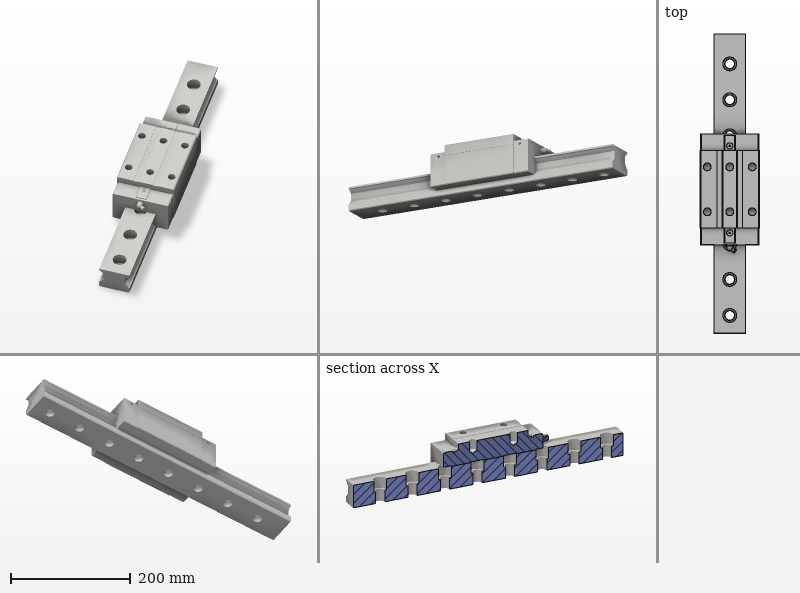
import cadquery as cq
import math

RAIL_LENGTH = 500.0
RAIL_WIDTH = 53.0
RAIL_HEIGHT = 42.0
RAIL_WAIST_WIDTH = 37.5
RAIL_HEAD_EDGE_Z = 39.0
RAIL_WAIST_TOP_Z = 32.0
RAIL_WAIST_BOTTOM_Z = 19.5
RAIL_FOOT_EDGE_Z = 11.5
RAIL_LIP_WIDTH = 2.0
RAIL_LIP_RISE = 1.0
RAIL_FOOT_CHAMFER = 1.5
RAIL_HOLE_COUNT = 8
RAIL_HOLE_PITCH = 60.0
RAIL_FIRST_HOLE_INSET = 30.0
RAIL_HOLE_DIAMETER = 16.0
RAIL_BORE_DIAMETER = 23.0
RAIL_BORE_DEPTH = 20.0

TOTAL_HEIGHT = 80.0
CARRIAGE_Y = -9.5
CARRIAGE_BOTTOM_Z = 10.5
BLOCK_WIDTH = 100.0
BLOCK_LENGTH = 129.5
BLOCK_LOWER_WIDTH = 99.0
BLOCK_STEP_Z = 61.5
BLOCK_TOP_CHAMFER = 2.0
BOTTOM_CHAMFER = 1.5
GROOVE_DEPTH = 0.75
GROOVE_OUTER_X = 21.5
GROOVE_INNER_TOP_X = 11.5
GROOVE_INNER_FLOOR_X = 13.0
MOUNT_HOLE_DIAMETER = 13.0
MOUNT_HOLE_DEPTH = 18.0
MOUNT_PITCH_X = 37.5
MOUNT_PITCH_Y = 75.0
DRILL_POINT_ANGLE = 118.0

CAPS_LENGTH = 185.5
CAP_WIDTH = 97.0
CAP_TOP_Z = 68.0
CAP_CHAMFER = 1.5
COVER_WIDTH = 19.0
COVER_TOP_WIDTH = 16.5
COVER_HEIGHT = 1.5
COVER_END_GAP = 3.0
SCREW_OFFSET_Y = 72.5
SCREW_RECESS_DIAMETER = 10.5
SCREW_RECESS_DEPTH = 1.0
SCREW_HOLE_DIAMETER = 2.5
SCREW_HOLE_DEPTH = 4.0
SIDE_PORT_OFFSET_Y = 77.0
SIDE_PORT_Z = 61.0
SIDE_PORT_DIAMETER = 4.5
SIDE_PORT_DEPTH = 5.0

NIPPLE_Z = 59.0
NIPPLE_FLANGE_DIAMETER = 10.5
NIPPLE_FLANGE_THICKNESS = 1.5
NIPPLE_BODY_DIAMETER = 10.0
NIPPLE_BODY_LENGTH = 5.0
NIPPLE_ARM_ANGLE = 60.0
NIPPLE_NECK_DIAMETER = 5.5
NIPPLE_NECK_LENGTH = 8.5
NIPPLE_HEAD_DIAMETER = 7.0
NIPPLE_HEAD_LENGTH = 2.5


def along_y(profile, length, center_y):
    """Extrude an XZ-plane profile along Y, centred on center_y."""
    return profile.extrude(length / 2, both=True).translate((0, center_y, 0))


def rail_bar():
    half = RAIL_WIDTH / 2
    waist = RAIL_WAIST_WIDTH / 2
    right_side = [
        (half - RAIL_FOOT_CHAMFER, 0),
        (half, RAIL_FOOT_CHAMFER),
        (half, RAIL_FOOT_EDGE_Z),
        (half - RAIL_LIP_WIDTH, RAIL_FOOT_EDGE_Z + RAIL_LIP_RISE),
        (waist, RAIL_WAIST_BOTTOM_Z),
        (waist, RAIL_WAIST_TOP_Z),
        (half - RAIL_LIP_WIDTH, RAIL_HEAD_EDGE_Z - RAIL_LIP_RISE),
        (half, RAIL_HEAD_EDGE_Z),
        (half, RAIL_HEIGHT),
    ]
    left_side = [(-x, z) for x, z in reversed(right_side)]
    return along_y(cq.Workplane("XZ").polyline(right_side + left_side).close(), RAIL_LENGTH, 0)


def make_rail():
    first_y = -RAIL_LENGTH / 2 + RAIL_FIRST_HOLE_INSET
    hole_points = [(0, first_y + i * RAIL_HOLE_PITCH) for i in range(RAIL_HOLE_COUNT)]
    return (
        rail_bar()
        .faces(">Z")
        .workplane(origin=(0, 0, RAIL_HEIGHT))
        .pushPoints(hole_points)
        .cboreHole(RAIL_HOLE_DIAMETER, RAIL_BORE_DIAMETER, RAIL_BORE_DEPTH)
    )


def carriage_block():
    half = BLOCK_WIDTH / 2
    lower = BLOCK_LOWER_WIDTH / 2
    right_side = [
        (lower - BOTTOM_CHAMFER, CARRIAGE_BOTTOM_Z),
        (lower, CARRIAGE_BOTTOM_Z + BOTTOM_CHAMFER),
        (lower, BLOCK_STEP_Z),
        (half, BLOCK_STEP_Z),
        (half, TOTAL_HEIGHT - BLOCK_TOP_CHAMFER),
        (half - BLOCK_TOP_CHAMFER, TOTAL_HEIGHT),
    ]
    left_side = [(-x, z) for x, z in reversed(right_side)]
    profile = cq.Workplane("XZ").polyline(right_side + left_side).close()
    return along_y(profile, BLOCK_LENGTH, CARRIAGE_Y)


def top_groove(side):
    """Shallow groove along the block top, side = +1 or -1; its inner wall slopes."""
    floor_z = TOTAL_HEIGHT - GROOVE_DEPTH
    outline = [
        (side * GROOVE_INNER_TOP_X, TOTAL_HEIGHT),
        (side * GROOVE_INNER_FLOOR_X, floor_z),
        (side * GROOVE_OUTER_X, floor_z),
        (side * GROOVE_OUTER_X, TOTAL_HEIGHT),
    ]
    return along_y(cq.Workplane("XZ").polyline(outline).close(), BLOCK_LENGTH, CARRIAGE_Y)


def mount_hole(x, y):
    """Blind hole with a drill-point bottom."""
    radius = MOUNT_HOLE_DIAMETER / 2
    point_depth = radius / math.tan(math.radians(DRILL_POINT_ANGLE / 2))
    outline = [(0, 0), (radius, 0), (radius, -MOUNT_HOLE_DEPTH), (0, -MOUNT_HOLE_DEPTH - point_depth)]
    hole = cq.Workplane("XZ").polyline(outline).close().revolve(360, (0, 0), (0, 1))
    return hole.translate((x, y, TOTAL_HEIGHT))


def end_caps():
    """Bar longer than the block, whose two ends are the end caps."""
    height = CAP_TOP_Z - CARRIAGE_BOTTOM_Z
    profile = cq.Workplane("XZ", origin=(0, 0, CARRIAGE_BOTTOM_Z + height / 2)).rect(CAP_WIDTH, height)
    return along_y(profile, CAPS_LENGTH, CARRIAGE_Y).edges("|Y").chamfer(CAP_CHAMFER)


def cover_strips():
    """Raised strip with sloping sides along the top of both caps."""
    foot = COVER_WIDTH / 2
    top = COVER_TOP_WIDTH / 2
    top_z = CAP_TOP_Z + COVER_HEIGHT
    outline = [(-foot, CAP_TOP_Z), (foot, CAP_TOP_Z), (top, top_z), (-top, top_z)]
    profile = cq.Workplane("XZ").polyline(outline).close()
    return along_y(profile, CAPS_LENGTH - 2 * COVER_END_GAP, CARRIAGE_Y)


def screw_recess(y):
    top = cq.Workplane("XY", origin=(0, y, CAP_TOP_Z + COVER_HEIGHT))
    recess = top.circle(SCREW_RECESS_DIAMETER / 2).extrude(-SCREW_RECESS_DEPTH)
    return recess.union(top.circle(SCREW_HOLE_DIAMETER / 2).extrude(-SCREW_HOLE_DEPTH))


def side_port(side, y):
    """Small blind hole in the side of a cap, side = +1 or -1."""
    wall = cq.Workplane("YZ", origin=(side * CAP_WIDTH / 2, y, SIDE_PORT_Z))
    return wall.circle(SIDE_PORT_DIAMETER / 2).extrude(-side * SIDE_PORT_DEPTH)


def make_carriage():
    carriage = end_caps().union(cover_strips()).union(carriage_block()).cut(rail_bar())
    for side in (-1, 1):
        carriage = carriage.cut(top_groove(side))
    for column in (-1, 0, 1):
        for row in (-0.5, 0.5):
            carriage = carriage.cut(mount_hole(column * MOUNT_PITCH_X, CARRIAGE_Y + row * MOUNT_PITCH_Y))
    for end in (-1, 1):
        carriage = carriage.cut(screw_recess(CARRIAGE_Y + end * SCREW_OFFSET_Y))
        for side in (-1, 1):
            carriage = carriage.cut(side_port(side, CARRIAGE_Y + end * SIDE_PORT_OFFSET_Y))
    return carriage


def make_nipple():
    """Elbow grease nipple standing on the -Y face of the carriage."""
    face_y = CARRIAGE_Y - CAPS_LENGTH / 2
    elbow = (0, face_y - NIPPLE_BODY_LENGTH, NIPPLE_Z)
    base = cq.Workplane("XZ", origin=(0, face_y, NIPPLE_Z))
    flange = base.circle(NIPPLE_FLANGE_DIAMETER / 2).extrude(NIPPLE_FLANGE_THICKNESS)
    body = base.circle(NIPPLE_BODY_DIAMETER / 2).extrude(NIPPLE_BODY_LENGTH)
    angle = math.radians(NIPPLE_ARM_ANGLE)
    arm_plane = cq.Plane(origin=elbow, xDir=(0, 0, 1), normal=(math.sin(angle), -math.cos(angle), 0))
    neck = cq.Workplane(arm_plane).circle(NIPPLE_NECK_DIAMETER / 2).extrude(NIPPLE_NECK_LENGTH)
    head = (
        cq.Workplane(arm_plane)
        .workplane(offset=NIPPLE_NECK_LENGTH)
        .circle(NIPPLE_HEAD_DIAMETER / 2)
        .extrude(NIPPLE_HEAD_LENGTH)
    )
    ball = cq.Workplane("XY").sphere(NIPPLE_BODY_DIAMETER / 2).translate(elbow)
    return flange.union(body).union(ball).union(neck).union(head)


rail = make_rail()
carriage = make_carriage()
nipple = make_nipple()

result = cq.Compound.makeCompound([rail.val(), carriage.val(), nipple.val()])